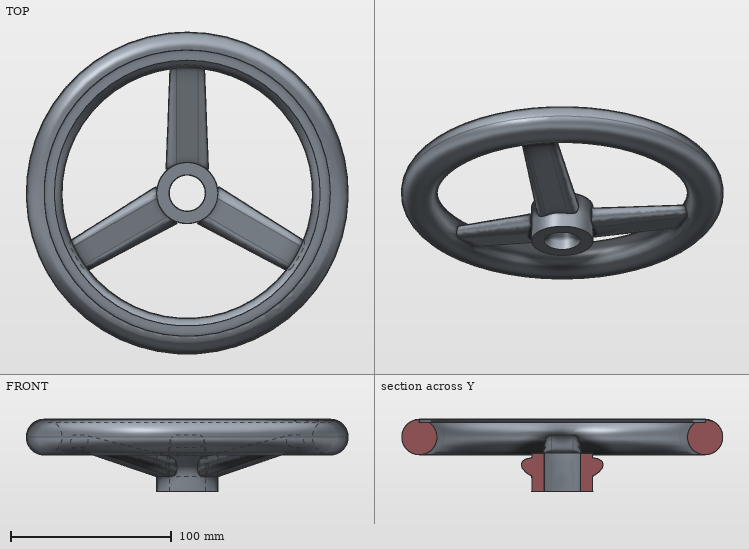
import cadquery as cq

outer_radius = 100.0
tube_diameter = 22.2
tube_radius = tube_diameter / 2
rim_radius = outer_radius - tube_radius
shoulder_depth = 2.0

overall_height = 45.0
hub_radius = 19.0
hub_height = 24.0
bore_radius = 11.2
rim_height = overall_height - tube_radius

spoke_count = 3
spoke_flat_width = 13.2
spoke_root_radius = 15.0
spoke_root_height = 15.0
spoke_root_thickness = 13.2
spoke_tip_thickness = 7.5


def make_rim():
    """Ring with a shallow step running from the tube's crest inwards."""
    ring = (
        cq.Workplane("YZ")
        .center(rim_radius, rim_height)
        .circle(tube_radius)
        .revolve(360, (-rim_radius, 0), (-rim_radius, 1))
    )
    shoulder_cut = (
        cq.Workplane("XY", origin=(0, 0, overall_height - shoulder_depth))
        .circle(rim_radius)
        .extrude(shoulder_depth)
    )
    return ring.cut(shoulder_cut)


def make_spoke():
    """Spoke along +Y, rising from the hub wall to the centre of the rim tube."""
    spoke_run = rim_radius - spoke_root_radius
    spoke_rise = rim_height - spoke_root_height
    root_plane = cq.Plane(
        origin=(0, spoke_root_radius, spoke_root_height), xDir=(1, 0, 0), normal=(0, 1, 0)
    )
    return (
        cq.Workplane(root_plane)
        .slot2D(spoke_flat_width + spoke_root_thickness, spoke_root_thickness)
        .workplane(offset=spoke_run)
        .center(0, -spoke_rise)
        .slot2D(spoke_flat_width + spoke_tip_thickness, spoke_tip_thickness)
        .loft(ruled=True)
    )


hub = cq.Workplane("XY").circle(hub_radius).extrude(hub_height)
bore = cq.Workplane("XY").circle(bore_radius).extrude(overall_height)

wheel = make_rim().union(hub)
for index in range(spoke_count):
    spoke = make_spoke().rotate((0, 0, 0), (0, 0, 1), index * 360 / spoke_count)
    wheel = wheel.union(spoke)

result = wheel.cut(bore)